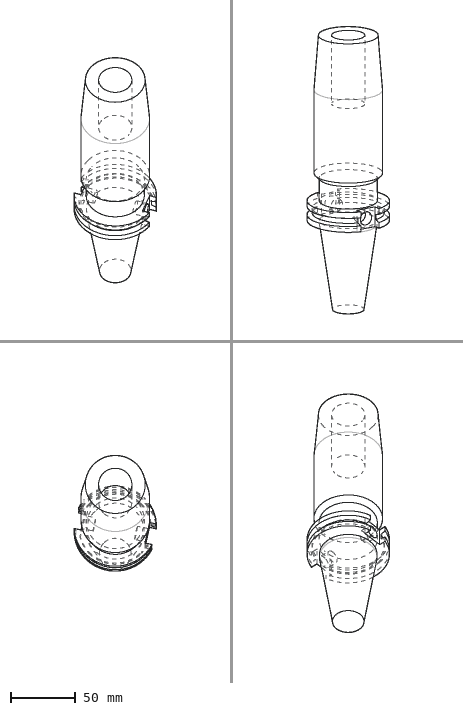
import cadquery as cq

total_height = 220.6

gauge_diameter = 44.4
gauge_height = 68.5
tail_diameter = gauge_diameter - gauge_height * 7 / 24

flange_diameter = 63.5
flange_bottom = 71.7
flange_top = 87.5
flange_middle = (flange_bottom + flange_top) / 2
groove_diameter = 55.5
groove_mouth_width = 6.6
groove_floor_width = 4.0

neck_diameter = 44.8
neck_top = 105.7
body_diameter = 53.0
body_bottom = 109.7
body_top = 176.7
nose_diameter = 46.1

bore_diameter = 25.5
bore_depth = 55.2

slot_width = 16.5
slot_floor_distance = 25.2
slot_hole_diameter = 10.4
slot_hole_depth = 8.8


def revolved_holder():
    """Revolve the outer half profile, given as (radius, height), about Z."""
    flange_radius = flange_diameter / 2
    groove_radius = groove_diameter / 2
    profile = [
        (0, 0),
        (tail_diameter / 2, 0),
        (gauge_diameter / 2, gauge_height),
        (gauge_diameter / 2, flange_bottom),
        (flange_radius, flange_bottom),
        (flange_radius, flange_middle - groove_mouth_width / 2),
        (groove_radius, flange_middle - groove_floor_width / 2),
        (groove_radius, flange_middle + groove_floor_width / 2),
        (flange_radius, flange_middle + groove_mouth_width / 2),
        (flange_radius, flange_top),
        (neck_diameter / 2, flange_top),
        (neck_diameter / 2, neck_top),
        (body_diameter / 2, body_bottom),
        (body_diameter / 2, body_top),
        (nose_diameter / 2, total_height),
        (0, total_height),
    ]
    return cq.Workplane("XZ").polyline(profile).close().revolve(360, (0, 0, 0), (0, 1, 0))


def tool_bore():
    return (
        cq.Workplane("XY", origin=(0, 0, total_height))
        .circle(bore_diameter / 2)
        .extrude(-bore_depth)
    )


def drive_slot(side):
    """Slot through the flange and its floor hole; side is +1 or -1 along X."""
    floor_plane = cq.Plane(
        origin=(side * slot_floor_distance, 0, flange_middle),
        xDir=(0, 1, 0),
        normal=(side, 0, 0),
    )
    slot = (
        cq.Workplane(floor_plane)
        .rect(slot_width, flange_top - flange_bottom)
        .extrude(flange_diameter / 2)
    )
    hole = cq.Workplane(floor_plane).circle(slot_hole_diameter / 2).extrude(-slot_hole_depth)
    return slot.union(hole)


result = revolved_holder().cut(tool_bore())
for side in (-1, 1):
    result = result.cut(drive_slot(side))